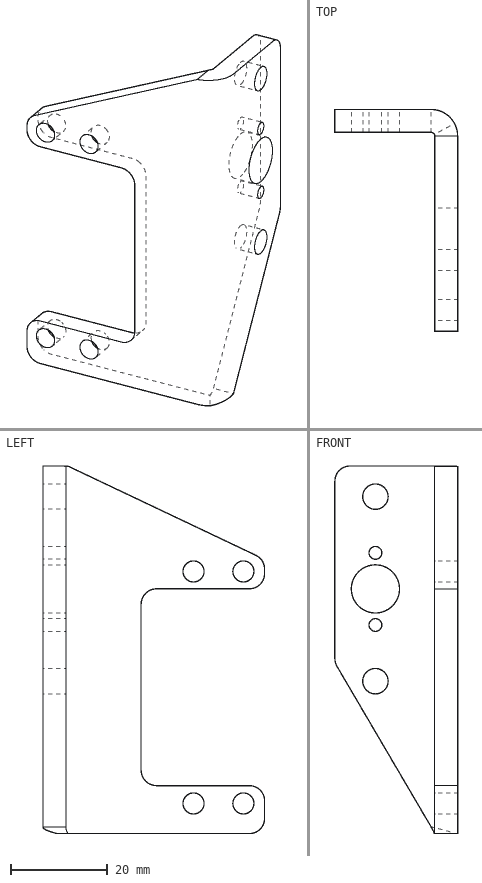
import cadquery as cq
import math


width = 25.4
depth = 45.82
height = 75.94

thickness = 4.7625
inner_radius = 0.762
outer_radius = inner_radius + thickness
bend_angle = 90.0
corner_radius = 3.175

bottom_slope_angle = 62.0
top_slope_angle = bend_angle - bottom_slope_angle

mount_width = width - outer_radius
mount_straight_edge = 40.64
mount_hole_edge_distance = 8.4
mount_hole_x = mount_hole_edge_distance - mount_width
bore_drop = 25.4
bore_z = height - bore_drop
bore_diameter = 9.9
mount_hole_offset = 19.05
mount_hole_diameter = 5.2
pin_hole_offset = 7.45
pin_hole_diameter = 2.6

fork_length = depth - outer_radius
fork_tip_drop = 19.3
slot_bottom = 9.95
slot_top = bore_z
slot_depth = 25.5
fork_hole_diameter = 4.3
fork_hole_end_distance = 4.4
fork_hole_pitch = 10.3
fork_hole_bottom = 6.25
fork_hole_spacing = 47.9

bottom_slope_run = inner_radius * math.radians(bottom_slope_angle)
bottom_slope_grade = (height - mount_straight_edge) / (mount_width + bottom_slope_run)
bottom_bend_rise = bottom_slope_grade * bottom_slope_run
top_slope_run = inner_radius * math.radians(top_slope_angle)
top_slope_grade = fork_tip_drop / (fork_length + top_slope_run)
top_bend_drop = top_slope_grade * top_slope_run


def round_corners(plate, corners):
    """Round the plate edges that lie closest to the given points."""
    for corner in corners:
        plate = plate.edges(cq.NearestToPointSelector(corner)).fillet(corner_radius)
    return plate


def make_mounting_flange():
    lower_corner_z = height - mount_straight_edge
    outline = [
        (0, bottom_bend_rise),
        (0, height),
        (-mount_width, height),
        (-mount_width, lower_corner_z),
    ]
    plane = cq.Workplane("XZ", origin=(0, outer_radius, 0))
    plate = plane.polyline(outline).close().extrude(thickness)
    middle_y = (inner_radius + outer_radius) / 2
    plate = round_corners(
        plate,
        [(-mount_width, middle_y, height), (-mount_width, middle_y, lower_corner_z)],
    )
    holes = [(0, bore_diameter)]
    for side in (-1, 1):
        holes.append((side * mount_hole_offset, mount_hole_diameter))
        holes.append((side * pin_hole_offset, pin_hole_diameter))
    for offset, diameter in holes:
        drill = plane.center(mount_hole_x, bore_z + offset).circle(diameter / 2).extrude(thickness)
        plate = plate.cut(drill)
    return plate


def make_forked_flange():
    slot_end_y = slot_depth - fork_length
    tip_z = height - fork_tip_drop
    fork_corners = [
        (-fork_length, 0),
        (-fork_length, slot_bottom),
        (slot_end_y, slot_bottom),
        (slot_end_y, slot_top),
        (-fork_length, slot_top),
        (-fork_length, tip_z),
    ]
    outline = [(0, 0)] + fork_corners + [(0, height - top_bend_drop)]
    plane = cq.Workplane("YZ", origin=(inner_radius, 0, 0))
    plate = plane.polyline(outline).close().extrude(thickness)
    middle_x = (inner_radius + outer_radius) / 2
    plate = round_corners(plate, [(middle_x, y, z) for y, z in fork_corners])
    end_hole_y = fork_hole_end_distance - fork_length
    holes = [
        (y, z)
        for y in (end_hole_y, end_hole_y + fork_hole_pitch)
        for z in (fork_hole_bottom, fork_hole_bottom + fork_hole_spacing)
    ]
    drills = plane.pushPoints(holes).circle(fork_hole_diameter / 2).extrude(thickness)
    return plate.cut(drills)


def bend_point(radius, angle):
    """Point around the bend axis; the angle starts at the mounting flange."""
    turn = math.radians(angle)
    return (radius * math.sin(turn), radius * math.cos(turn))


def make_twisted_wedge(start_angle, sweep, base_z, rise):
    """Wedge that turns back by its own sweep as it rises, giving a helical end face."""
    near = inner_radius / 2
    far = outer_radius * 2
    outline = [
        bend_point(near, start_angle),
        bend_point(far, start_angle),
        bend_point(far, start_angle + sweep),
        bend_point(near, start_angle + sweep),
    ]
    plane = cq.Workplane("XY", origin=(0, 0, base_z))
    return plane.polyline(outline).close().twistExtrude(rise, sweep)


def make_bend():
    half_angle = bend_angle / 2
    bend = (
        cq.Workplane("XY")
        .moveTo(*bend_point(inner_radius, 0))
        .lineTo(*bend_point(outer_radius, 0))
        .threePointArc(bend_point(outer_radius, half_angle), bend_point(outer_radius, bend_angle))
        .lineTo(*bend_point(inner_radius, bend_angle))
        .threePointArc(bend_point(inner_radius, half_angle), bend_point(inner_radius, 0))
        .close()
        .extrude(height)
    )
    bottom_cut = make_twisted_wedge(0, bottom_slope_angle, 0, bottom_bend_rise)
    top_cut = make_twisted_wedge(bend_angle, top_slope_angle, height - top_bend_drop, top_bend_drop)
    return bend.cut(bottom_cut).cut(top_cut)


result = make_mounting_flange().union(make_bend()).union(make_forked_flange())